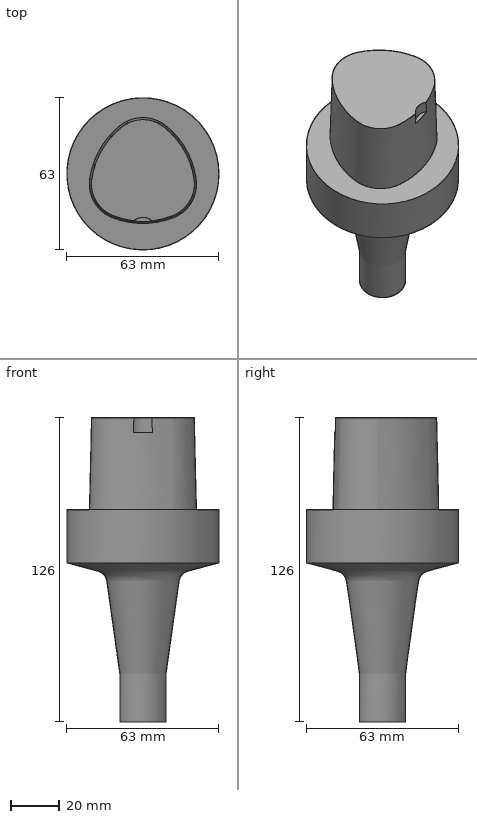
import cadquery as cq
import math

total_height = 126.0
flange_top = 88.0
flange_bottom = 65.9
pilot_top = 20.0

flange_radius = 31.5
pilot_radius = 9.6
stem_half_angle = math.radians(8)
underside_angle = math.radians(15)
stem_fillet = 4.8

lobe_reach = 23.3
flank_reach = 20.5
lobe_center_offset = 8.3
lobe_count = 3
shank_inset = 0.9

notch_radius = 5.7
notch_depth = 6.2
notch_bottom_y = -18.0


def polar(distance, degrees):
    angle = math.radians(degrees)
    return distance * math.cos(angle), distance * math.sin(angle)


def make_body():
    """Flange with a conical underside, tapered stem and cylindrical pilot."""
    stem_slope = math.tan(stem_half_angle)
    underside_slope = math.tan(underside_angle)
    underside_height_on_axis = flange_bottom - flange_radius * underside_slope
    stem_radius_on_base = pilot_radius - pilot_top * stem_slope
    root_radius = (stem_radius_on_base + underside_height_on_axis * stem_slope) / (
        1 - stem_slope * underside_slope
    )
    root_height = underside_height_on_axis + root_radius * underside_slope
    body = (
        cq.Workplane("XZ")
        .moveTo(0, 0)
        .lineTo(pilot_radius, 0)
        .lineTo(pilot_radius, pilot_top)
        .lineTo(root_radius, root_height)
        .lineTo(flange_radius, flange_bottom)
        .lineTo(flange_radius, flange_top)
        .lineTo(0, flange_top)
        .close()
        .revolve(360, (0, 0, 0), (0, 1, 0))
    )
    root_edge = cq.selectors.RadiusNthSelector(1)
    return body.edges("%CIRCLE").edges(root_edge).fillet(stem_fillet)


def make_shank():
    """Tapered shank of tangent lobe and flank arcs; one lobe points to +Y."""
    lobe_radius = lobe_reach - lobe_center_offset
    reach_gap = flank_reach - lobe_radius
    flank_center_offset = (lobe_center_offset**2 - reach_gap**2) / (
        2 * reach_gap - lobe_center_offset
    )
    lobe_side = lobe_center_offset * math.sin(math.pi / lobe_count)
    lobe_forward = lobe_center_offset * math.cos(math.pi / lobe_count)
    join_angle = math.atan2(lobe_side, flank_center_offset + lobe_forward)
    flank_radius = flank_reach + flank_center_offset
    join_x = flank_radius * math.sin(join_angle)
    join_y = flank_radius * math.cos(join_angle) - flank_center_offset
    join_reach = math.hypot(join_x, join_y)
    join_spread = math.degrees(math.atan2(join_x, join_y))

    pitch = 360 / lobe_count
    front_flank = -90
    outline = cq.Workplane("XY", origin=(0, 0, flange_top)).moveTo(
        *polar(join_reach, front_flank - join_spread)
    )
    for index in range(lobe_count):
        flank = front_flank + index * pitch
        outline = outline.threePointArc(
            polar(flank_reach, flank), polar(join_reach, flank + join_spread)
        ).threePointArc(
            polar(lobe_reach, flank + pitch / 2),
            polar(join_reach, flank + pitch - join_spread),
        )
    shank_height = total_height - flange_top
    wall_lean = math.degrees(math.atan2(shank_inset, shank_height))
    return outline.close().extrude(shank_height, taper=wall_lean)


def make_notch():
    """Upright cylinder that scallops the front flank at the top."""
    return (
        cq.Workplane("XY", origin=(0, 0, total_height - notch_depth))
        .center(0, notch_bottom_y - notch_radius)
        .circle(notch_radius)
        .extrude(notch_depth)
    )


result = make_body().union(make_shank()).cut(make_notch())